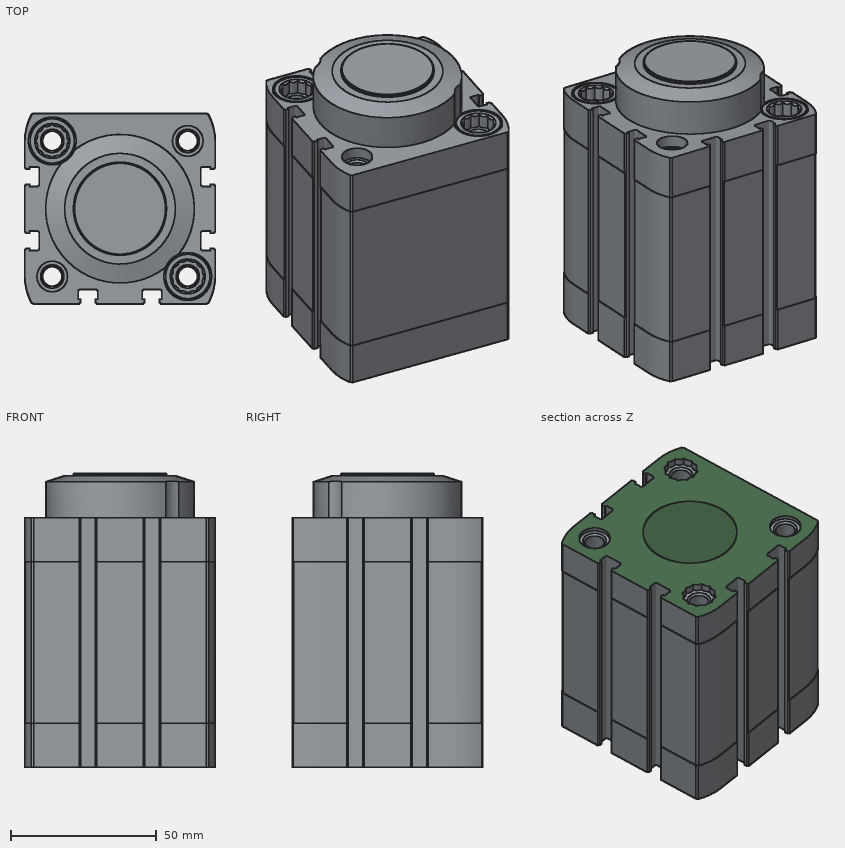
import cadquery as cq
import math


cap_side = 65.5
barrel_side = 65.2
cap_height = 15.2
housing_height = 85.7
corner_arc_radius = 20.0
corner_arc_start = 23.0
corner_edge_chamfer = 0.45
corner_edge_width = 0.8

collar_diameter = 51.0
collar_cone_top_diameter = 38.0
collar_edge_z = 98.0
collar_top_z = 100.1

rod_diameter = 32.0
rod_top_z = 101.0
rod_chamfer = 0.4
rod_bottom_z = cap_height

slot_offset = 11.0
slot_neck_width = 5.1
slot_inner_width = 6.6
slot_depth = 5.0
slot_lip_depth = 1.7
slot_mouth_radius = 0.5
slot_corner_radius = 0.6

hole_pitch = 46.5
hole_offset = hole_pitch / 2
hole_diameter = 6.65
countersink_diameter = 8.0

counterbore_diameter = 10.5
counterbore_depth = 4.0

head_seat_diameter = 16.4
head_top_diameter = 15.2
socket_across_flats = 9.9
socket_bore_diameter = 10.5
socket_rim_diameter = 12.0
socket_depth = 5.3


def cone(lower_diameter, upper_diameter, bottom_z, top_z):
    """Upright cone frustum on the Z axis."""
    return (
        cq.Workplane("XY", origin=(0, 0, bottom_z))
        .circle(lower_diameter / 2)
        .workplane(offset=top_z - bottom_z)
        .circle(upper_diameter / 2)
        .loft(ruled=True)
    )


def cylinder(diameter, bottom_z, top_z):
    """Upright cylinder on the Z axis."""
    return cq.Workplane("XY", origin=(0, 0, bottom_z)).circle(diameter / 2).extrude(top_z - bottom_z)


def housing_block(side, bottom_z, top_z):
    """Square prism whose corners are long arcs, each tangent to an X side."""
    half = side / 2
    arc_end_y = half - corner_edge_chamfer

    def arc_x(y):
        rise = y - corner_arc_start
        return half - corner_arc_radius + math.sqrt(corner_arc_radius ** 2 - rise ** 2)

    arc_middle_y = (corner_arc_start + arc_end_y) / 2
    arc_middle_x = arc_x(arc_middle_y)
    arc_end_x = arc_x(arc_end_y)
    flat_end_x = arc_end_x - corner_edge_width
    return (
        cq.Workplane("XY", origin=(0, 0, bottom_z))
        .moveTo(half, -corner_arc_start)
        .lineTo(half, corner_arc_start)
        .threePointArc((arc_middle_x, arc_middle_y), (arc_end_x, arc_end_y))
        .lineTo(flat_end_x, half)
        .lineTo(-flat_end_x, half)
        .lineTo(-arc_end_x, arc_end_y)
        .threePointArc((-arc_middle_x, arc_middle_y), (-half, corner_arc_start))
        .lineTo(-half, -corner_arc_start)
        .threePointArc((-arc_middle_x, -arc_middle_y), (-arc_end_x, -arc_end_y))
        .lineTo(-flat_end_x, -half)
        .lineTo(flat_end_x, -half)
        .lineTo(arc_end_x, -arc_end_y)
        .threePointArc((arc_middle_x, -arc_middle_y), (half, -corner_arc_start))
        .close()
        .extrude(top_z - bottom_z)
    )


def t_slot():
    """Cutter for one T-slot in the -Y side, with rounded lip edges and floor corners."""
    half = cap_side / 2
    neck = slot_neck_width / 2
    inner = slot_inner_width / 2
    lip_y = -half + slot_lip_depth
    floor_y = -half + slot_depth
    mouth = neck + slot_mouth_radius
    round_end_y = -half + slot_mouth_radius
    slot = (
        cq.Workplane("XY")
        .moveTo(mouth, -half)
        .radiusArc((neck, round_end_y), -slot_mouth_radius)
        .lineTo(neck, lip_y)
        .lineTo(inner, lip_y)
        .lineTo(inner, floor_y)
        .lineTo(-inner, floor_y)
        .lineTo(-inner, lip_y)
        .lineTo(-neck, lip_y)
        .lineTo(-neck, round_end_y)
        .radiusArc((-mouth, -half), -slot_mouth_radius)
        .close()
        .extrude(housing_height)
    )
    return slot.faces(">Y").edges("|Z").fillet(slot_corner_radius)


def countersunk_hole(seat_z):
    """Cutter for a through hole with a 45 degree countersink starting at seat_z."""
    countersink_depth = (countersink_diameter - hole_diameter) / 2
    countersink = cone(hole_diameter, countersink_diameter, seat_z - countersink_depth, seat_z)
    return cylinder(hole_diameter, 0, seat_z).union(countersink)


def counterbored_hole():
    """Cutter for a plain mounting hole."""
    seat_z = housing_height - counterbore_depth
    counterbore = cylinder(counterbore_diameter, seat_z, housing_height)
    return countersunk_hole(seat_z).union(counterbore)


def socket_hole():
    """Cutter for a screw-head corner: edge groove, collar relief, socket and through hole."""
    seat_z = housing_height - socket_depth
    bevel_depth = (head_seat_diameter - head_top_diameter) / 2
    groove_bottom_z = housing_height - bevel_depth
    groove = cylinder(head_seat_diameter, groove_bottom_z, housing_height).cut(
        cone(head_seat_diameter, head_top_diameter, groove_bottom_z, housing_height)
    )
    relief = cylinder(head_seat_diameter, housing_height, collar_top_z)

    hexagon_sides = 6
    half_side_angle = 180 / hexagon_sides
    hexagon_diameter = socket_across_flats / math.cos(math.radians(half_side_angle))
    hexagon = (
        cq.Workplane("XY", origin=(0, 0, seat_z))
        .polygon(hexagon_sides, hexagon_diameter)
        .extrude(socket_depth)
    )
    turned_hexagon = hexagon.rotate((0, 0, 0), (0, 0, 1), half_side_angle)
    ridge_bore = cylinder(socket_bore_diameter, seat_z, housing_height)
    socket = hexagon.union(turned_hexagon).union(ridge_bore)
    rim_depth = (socket_rim_diameter - socket_across_flats) / 2
    rim = cone(socket_across_flats, socket_rim_diameter, housing_height - rim_depth, housing_height)
    return countersunk_hole(seat_z).union(socket).union(rim).union(relief).union(groove)


def build_housing():
    barrel_top_z = housing_height - cap_height
    housing = (
        housing_block(cap_side, 0, cap_height)
        .union(housing_block(barrel_side, cap_height, barrel_top_z))
        .union(housing_block(cap_side, barrel_top_z, housing_height))
        .union(cylinder(collar_diameter, housing_height, collar_edge_z))
        .union(cone(collar_diameter, collar_cone_top_diameter, collar_edge_z, collar_top_z))
    )

    for side_angle in (-90, 0, 90):
        for offset in (-slot_offset, slot_offset):
            slot = t_slot().translate((offset, 0, 0))
            housing = housing.cut(slot.rotate((0, 0, 0), (0, 0, 1), side_angle))

    for sign in (-1, 1):
        housing = housing.cut(counterbored_hole().translate((sign * hole_offset, sign * hole_offset, 0)))
        housing = housing.cut(socket_hole().translate((sign * hole_offset, -sign * hole_offset, 0)))

    return housing.cut(cylinder(rod_diameter, rod_bottom_z, collar_top_z))


def build_rod():
    return cylinder(rod_diameter, rod_bottom_z, rod_top_z).faces(">Z").chamfer(rod_chamfer)


housing = build_housing()
rod = build_rod()

result = cq.Compound.makeCompound([housing.val(), rod.val()])